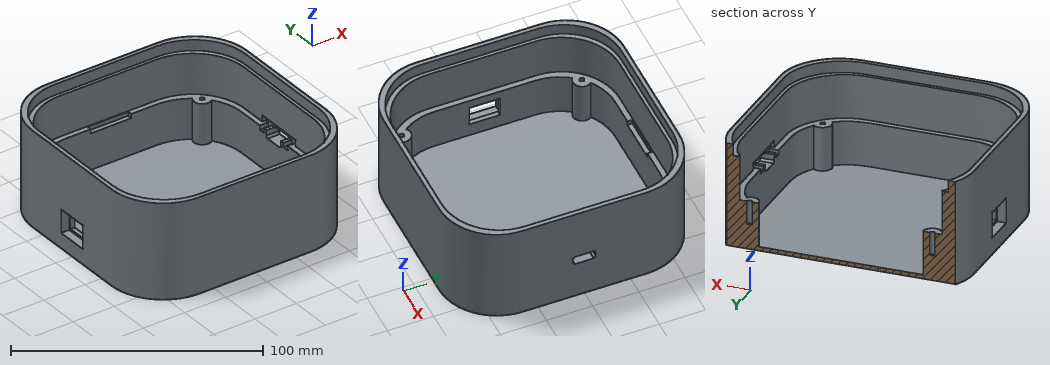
import cadquery as cq

side = 104.0
height = 45.0
corner_radius = 25.0
floor_thickness = 2.0

rim_wall = 2.0
upper_wall = 3.5
lower_wall = 6.0
lower_corner_radius = 24.0
lid_seat_depth = 5.0
ledge_z = 21.0

post_offset = 39.0
post_diameter = 7.9
screw_hole_diameter = 2.0
screw_hole_depth = 10.0

window_width = 14.9
window_bottom = 7.2
window_top = 18.2
window_recess_depth = 4.0
opening_width = 13.3
opening_bottom = 8.0
opening_top = 17.1

connector_width = 10.0
connector_height = 4.0
connector_bevel = 0.9
connector_bottom = 17.6
board_recess_width = 22.5
board_recess_top = 23.9
notch_inner = 6.7
notch_outer = 9.5
notch_depth = 2.0

groove_start = -10.2
groove_end = 9.5
groove_depth = 2.0
groove_wall = 3.8

outer_face = side / 2
lower_face = outer_face - lower_wall
rim_face = outer_face - rim_wall


def rounded_block(wall, radius, bottom, top):
    """Rounded square block set in from the outside by the wall thickness."""
    width = side - 2 * wall
    block = cq.Workplane("XY").workplane(offset=bottom).rect(width, width).extrude(top - bottom)
    return block.edges("|Z").fillet(radius)


def box_between(x_range, y_range, z_range):
    """Box given by its limits along each axis."""
    starts, ends = zip(x_range, y_range, z_range)
    lengths = [end - start for start, end in zip(starts, ends)]
    return cq.Workplane("XY").box(*lengths, centered=False).translate(starts)


def shell():
    body = rounded_block(0, corner_radius, 0, height)
    lower = rounded_block(lower_wall, lower_corner_radius, floor_thickness, ledge_z)
    upper = rounded_block(upper_wall, corner_radius, ledge_z, height)
    lid_seat = rounded_block(rim_wall, corner_radius, height - lid_seat_depth, height)
    return body.cut(lower).cut(upper).cut(lid_seat)


def at_posts(z):
    spacing = 2 * post_offset
    return cq.Workplane("XY").workplane(offset=z).rect(spacing, spacing, forConstruction=True).vertices()


def add_posts(body):
    posts = at_posts(floor_thickness).circle(post_diameter / 2).extrude(ledge_z - floor_thickness)
    holes = at_posts(ledge_z).circle(screw_hole_diameter / 2).extrude(-screw_hole_depth)
    return body.union(posts).cut(holes)


def cut_window(body):
    recess = box_between(
        (-outer_face, -outer_face + window_recess_depth),
        (-window_width / 2, window_width / 2),
        (window_bottom, window_top),
    )
    opening = box_between(
        (-outer_face, -lower_face),
        (-opening_width / 2, opening_width / 2),
        (opening_bottom, opening_top),
    )
    return body.cut(recess).cut(opening)


def cut_connector_seat(body):
    slot = box_between(
        (lower_face, outer_face),
        (-connector_width / 2, connector_width / 2),
        (connector_bottom, connector_bottom + connector_height),
    )
    slot = slot.edges("|X").chamfer(connector_bevel)
    slot_mouth = box_between(
        (lower_face, rim_face),
        (-connector_width / 2, connector_width / 2),
        (connector_bottom + connector_bevel, ledge_z),
    )
    board_recess = box_between(
        (lower_face, rim_face),
        (-board_recess_width / 2, board_recess_width / 2),
        (ledge_z, board_recess_top),
    )
    body = body.cut(slot).cut(slot_mouth).cut(board_recess)
    for y_range in ((notch_inner, notch_outer), (-notch_outer, -notch_inner)):
        notch = box_between((lower_face, rim_face), y_range, (ledge_z - notch_depth, ledge_z))
        body = body.cut(notch)
    return body


def cut_ledge_groove(body):
    groove = box_between(
        (groove_start, groove_end),
        (lower_face, outer_face - groove_wall),
        (ledge_z - groove_depth, ledge_z),
    )
    return body.cut(groove)


result = shell()
result = add_posts(result)
result = cut_window(result)
result = cut_connector_seat(result)
result = cut_ledge_groove(result)